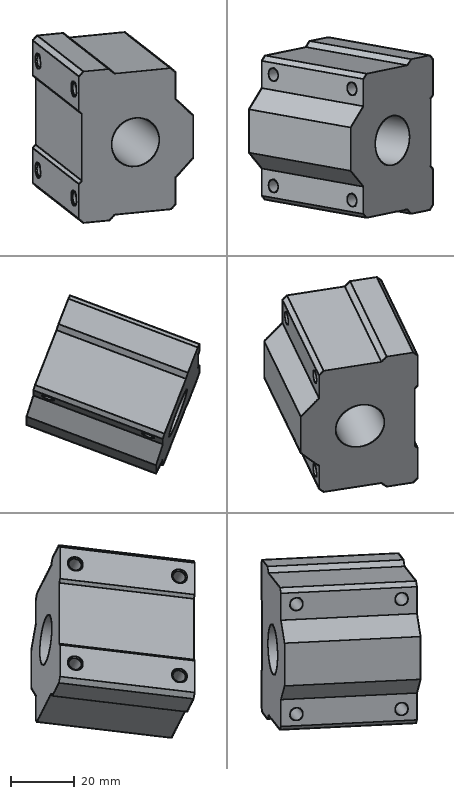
import cadquery as cq

length = 44.0
depth = 38.5
height = 50.0

flange_half = height / 2
flange_thickness = 10.25
flange_slope_run = 1.75
flange_chamfer = 1.5
body_half = 23.3
body_depth = 32.5
body_chamfer = 1.5
ridge_half = 7.0
relief_half = 11.0
relief_depth = 1.0

bore_diameter = 16.0
bore_y = 19.0

hole_diameter = 4.15
hole_mouth_diameter = 5.0
hole_spacing_x = 34.0
hole_spacing_z = 36.0


def block():
    """Extrude the symmetric cross-section along X, centred on x = 0."""
    ridge_height = depth - body_depth
    upper_half = [
        (relief_depth, relief_half),
        (0, relief_half + relief_depth),
        (0, flange_half - flange_chamfer),
        (flange_chamfer, flange_half),
        (flange_thickness, flange_half),
        (flange_thickness + flange_slope_run, body_half),
        (body_depth - body_chamfer, body_half),
        (body_depth, body_half - body_chamfer),
        (body_depth, ridge_half + ridge_height),
        (depth, ridge_half),
    ]
    lower_half = [(y, -z) for y, z in reversed(upper_half)]
    profile = cq.Workplane("YZ").polyline(upper_half + lower_half).close()
    return profile.extrude(length / 2, both=True)


def bore():
    """Shaft bore along the full length of the block."""
    axis = cq.Workplane("YZ").center(bore_y, 0)
    return axis.circle(bore_diameter / 2).extrude(length / 2, both=True)


def mounting_hole(x, z):
    """Through hole along Y with a 45 degree countersink at the mounting face."""
    hole_radius = hole_diameter / 2
    mouth_radius = hole_mouth_diameter / 2
    half_section = [
        (0, 0),
        (mouth_radius, 0),
        (hole_radius, mouth_radius - hole_radius),
        (hole_radius, depth),
        (0, depth),
    ]
    hole = cq.Workplane("XY").polyline(half_section).close().revolve(360, (0, 0), (0, 1))
    return hole.translate((x, 0, z))


result = block().cut(bore())
for x in (-hole_spacing_x / 2, hole_spacing_x / 2):
    for z in (-hole_spacing_z / 2, hole_spacing_z / 2):
        result = result.cut(mounting_hole(x, z))